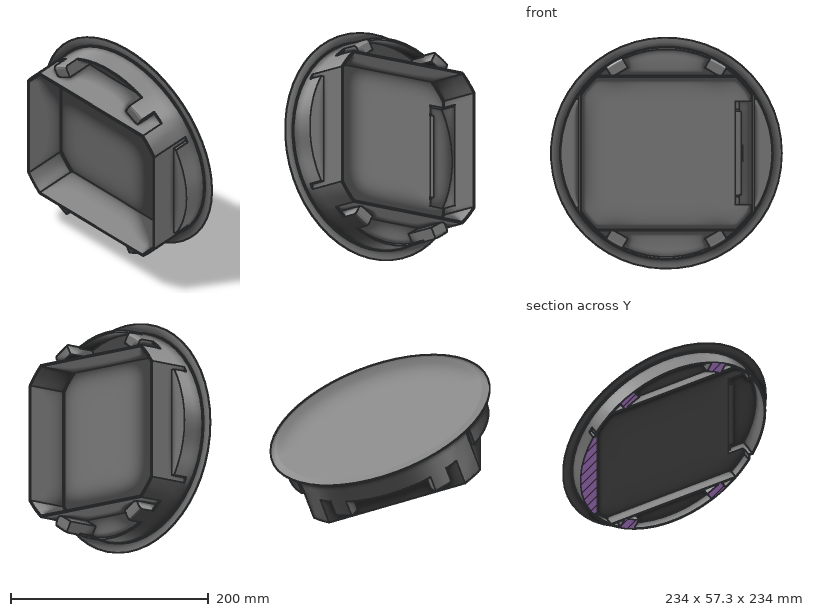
import cadquery as cq

total_height = 57.3
housing_top = 54.5
floor_front = 47.3
plate_front = 45.5
ring_front = 28.0
tab_front = 9.8

ring_radius = 107.0
wall = 1.9
ring_bore_radius = ring_radius - wall
box_half_x = 88.7
box_half_z = 78.6
rim_chamfer = 0.5
floor_ledge = 0.7

collar_radius = 107.9
collar_front = 53.1

pod_half_z = 54.5
pod_cap = 1.5

slot_left = 69.5
slot_half_z = 52.5

tab_angles = (60, 120, 240, 300)
tab_width = 19.0
tab_inner_radius = 94.3
tab_round = 3.3

cover_radius = 117.0
cover_flat_radius = 109.5
cover_rim_height = 0.7

flap_front = 48.7
flap_half_z = 42.5
flap_right = 75.8
flap_corner = 2.0
shoulder_half_z = 44.2
shoulder_front = 50.0
hinge_right = 73.7
hinge_front = 51.5
finger_right = 77.2
finger_half_z = 8.2


def block(x_min, x_max, y_min, y_max, half_z):
    """Box between two X and two Y values, centred on Z = 0."""
    return cq.Workplane("XY").box(
        x_max - x_min, y_max - y_min, 2 * half_z, centered=(False, False, True)
    ).translate((x_min, y_min, 0))


def disc(radius, y_min, y_max):
    """Cylinder about the Y axis."""
    return cq.Workplane("XZ", origin=(0, y_min, 0)).circle(radius).extrude(y_min - y_max)


def make_box_cavity():
    """Inside of the box, with corners following the ring bore and a slightly smaller recess at the floor."""
    half_x = box_half_x - wall
    half_z = box_half_z - wall
    cavity = block(-half_x, half_x, 0, plate_front, half_z)
    cavity = cavity.intersect(disc(ring_bore_radius, 0, plate_front))
    recess_half_x = half_x - floor_ledge
    recess = block(-recess_half_x, recess_half_x, plate_front, floor_front, half_z)
    recess = recess.intersect(disc(ring_bore_radius - floor_ledge, plate_front, floor_front))
    return cavity.union(recess)


def make_tab(angle):
    """Radial tab, left long on the outside until the housing is turned to its radius."""
    tab = block(tab_inner_radius, cover_radius, tab_front, plate_front, tab_width / 2)
    return tab.rotate((0, 0, 0), (0, 1, 0), -angle)


def make_ring_wall():
    """Wall above and below the box; the pods close the two X sides."""
    wall_ring = block(-box_half_x, box_half_x, ring_front, plate_front, cover_radius)
    return wall_ring.cut(disc(ring_bore_radius, ring_front, plate_front))


def make_cable_slot():
    """Pocket through the plate and the +X wall that also hollows the +X pod."""
    slot_front = ring_front + pod_cap
    slot = block(slot_left, ring_radius, slot_front, housing_top, slot_half_z)
    return slot.intersect(disc(ring_bore_radius, slot_front, housing_top))


def round_tabs(housing):
    """Round the outer front edge of every tab, the only arcs at the tab front."""
    tab_front_edges = cq.selectors.BoxSelector(
        (-cover_radius, tab_front - wall, -cover_radius),
        (cover_radius, tab_front + wall, cover_radius),
    )
    return housing.edges("%CIRCLE").edges(tab_front_edges).fillet(tab_round)


def chamfer_rim(housing):
    """Break the outer rim of the box along its Z sides and round corners."""
    rim_edges = housing.faces("<Y").edges("|X or %CIRCLE")
    return rim_edges.chamfer(rim_chamfer)


def make_housing():
    """Ring, plate, box, side pods and tabs in one piece, with the box opened and the slot cut."""
    housing = block(-cover_radius, cover_radius, plate_front, collar_front, cover_radius)
    housing = housing.union(make_ring_wall())
    housing = housing.union(block(-box_half_x, box_half_x, 0, plate_front, box_half_z))
    housing = housing.union(block(-cover_radius, cover_radius, ring_front, plate_front, pod_half_z))
    for angle in tab_angles:
        housing = housing.union(make_tab(angle))
    housing = housing.intersect(disc(ring_radius, 0, collar_front))
    housing = round_tabs(housing)
    housing = chamfer_rim(housing)
    housing = housing.union(disc(collar_radius, collar_front, housing_top))
    housing = housing.cut(make_box_cavity())
    return housing.cut(make_cable_slot())


def make_cover():
    """Round cover with a thin rim and a cone rising to its flat top."""
    return (
        cq.Workplane("XY")
        .moveTo(0, housing_top)
        .lineTo(cover_radius, housing_top)
        .lineTo(cover_radius, housing_top + cover_rim_height)
        .lineTo(cover_flat_radius, total_height)
        .lineTo(0, total_height)
        .close()
        .revolve(360, (0, 0, 0), (0, 1, 0))
    )


def make_flap():
    """Stepped bar at the -X edge of the cable slot, with a finger at its middle."""
    flap = block(slot_left, flap_right, flap_front, housing_top, flap_half_z)
    flap = flap.edges("|Y and >X").fillet(flap_corner)
    shoulders = block(slot_left, hinge_right, shoulder_front, housing_top, shoulder_half_z)
    hinge = block(slot_left, hinge_right, hinge_front, housing_top, slot_half_z)
    finger = block(slot_left, finger_right, hinge_front, housing_top, finger_half_z)
    return flap.union(shoulders).union(hinge).union(finger)


housing = make_housing()
cover = make_cover()
flap = make_flap()

result = cq.Compound.makeCompound([housing.val(), cover.val(), flap.val()])